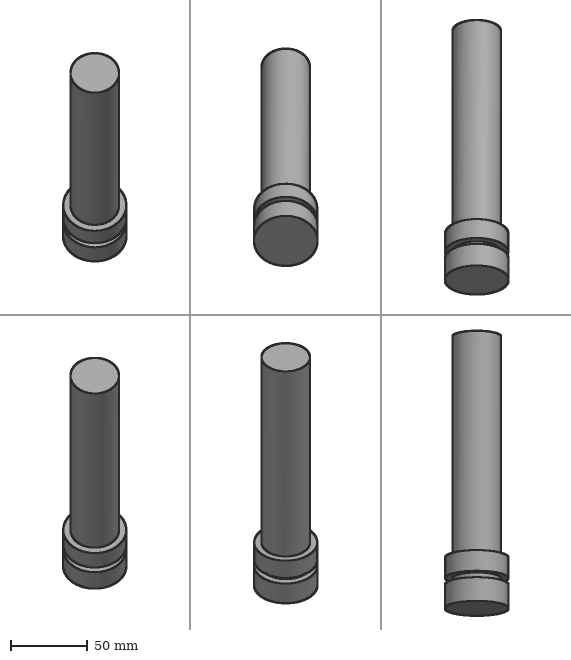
import cadquery as cq

total_length = 184.0
shaft_diameter = 32.0
head_diameter = 42.0
collar_diameter = 41.5

head_height = 16.0
groove_width = 4.5
collar_height = 14.0
collar_base = head_height + groove_width


def disc(diameter, base, height):
    """Cylinder on the Z axis, standing on the given base height."""
    return cq.Workplane("XY").workplane(offset=base).circle(diameter / 2).extrude(height)


shaft = disc(shaft_diameter, 0, total_length)
head = disc(head_diameter, 0, head_height)
collar = disc(collar_diameter, collar_base, collar_height)

result = shaft.union(head).union(collar)